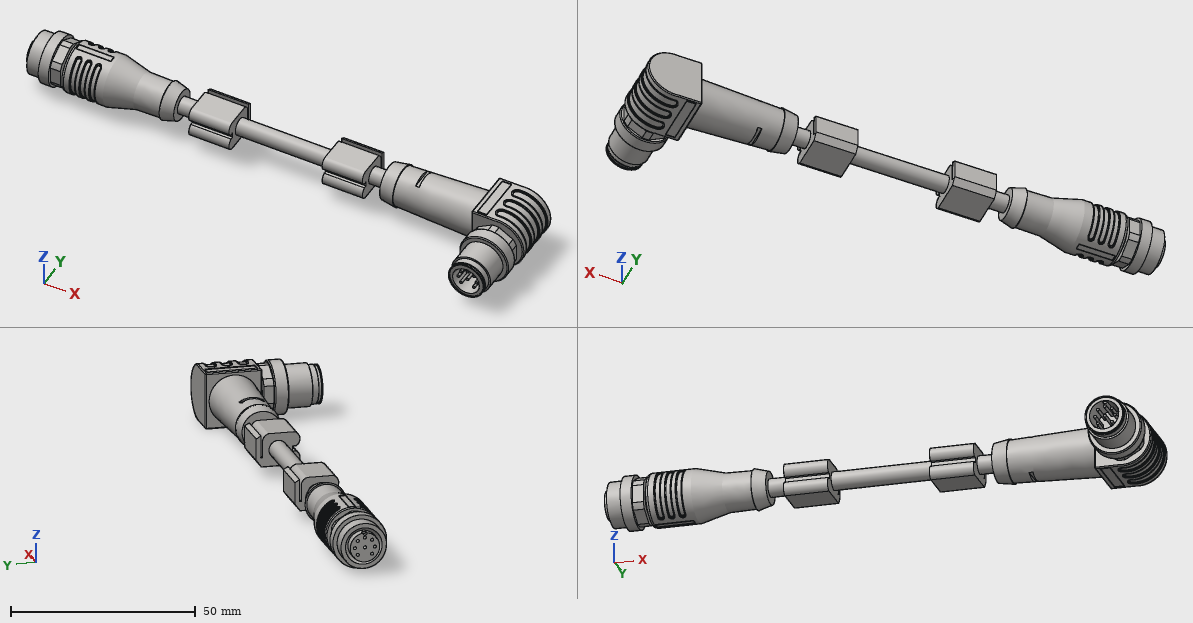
import cadquery as cq
import math

TOTAL_LENGTH = 155.4
CABLE_DIAMETER = 5.1

CONTACT_DIAMETER = 0.8
CONTACT_CIRCLE_RADIUS = 2.8
OUTER_CONTACTS = 7
FIRST_CONTACT_ANGLE = -45
CONTACT_SWEEP = 270
INSERT_DIAMETER = 8.2
KEY_DIAMETER = 1.2

GROOVE_DEPTHS = (0.23, 0.5)

RING_DIAMETER = 15.0
NECK_DIAMETER = 9.3
NUT_ACROSS_FLATS = 12.7
NUT_CORNER_DIAMETER = 13.7

SLEEVE_START = 1.2
SLEEVE_DIAMETER = 12.7
SLEEVE_MOUTH_DIAMETER = 10.3
SLEEVE_MOUTH_DEPTH = 1.2
SOCKET_RING_START = 5.5
SOCKET_NUT_START = 8.5
SOCKET_NECK_START = 11.7
BODY_START = 12.6
BODY_EDGE_DIAMETER = 14.6
BODY_DIAMETER = 15.0
BODY_CHAMFER_END = 13.2
BODY_END = 25.5
TAIL_START = 33.7
TAIL_DIAMETER = 10.9
TAIL_NARROW_DIAMETER = 10.5
COLLAR_START = 41.8
COLLAR_DIAMETER = 11.5
SOCKET_END = 45.7
SOCKET_END_DIAMETER = 9.3
SOCKET_HOLE_DEPTH = 4.7

MARK_START = 13.5
MARK_LENGTH = 10.7
MARK_WIDTH = 1.9
MARK_DEPTH = 0.23
BODY_GROOVE_CENTER = MARK_START + MARK_LENGTH / 2
BODY_GROOVE_SPAN = 6.0
BODY_GROOVE_PITCH = BODY_GROOVE_SPAN / 2
BODY_GROOVE_WIDTHS = (1.9, 1.2)
BODY_GROOVE_TIP = 2.8

CLIP_STARTS = (51.1, 92.3)
CLIP_LENGTH = 12.5
CLIP_HALF_HEIGHT = 4.7
CLIP_WIDTH = 12.3
CLIP_HALF_WIDTH = CLIP_WIDTH / 2
CLIP_TOP_FRONT = -4.5
CLIP_TOP_BACK = 2.6
CLIP_BULGE_HEIGHT = 2.6
CLIP_BOTTOM_HALF_WIDTH = 4.7
CLIP_SLOT_TOP = 0.6
CLIP_SLOT_BOTTOM = -0.8
CLIP_SLOT_EDGE = 5.0
CLIP_SLOT_FLOOR = 4.0
CLIP_GAP_START = 4.4
CLIP_GAP_END = 4.8
CLIP_GAP_FLOOR = -2.0
CLIP_SHOULDER = (3.7, 4.0)
CLIP_SHOULDER_END = 2.8
CLIP_LIP_TOP = 4.2
CLIP_LIP_OUTER_TOP = 3.4

BOOT_START = 109.7
BOOT_START_DIAMETER = 11.0
BOOT_COLLAR = 114.0
BOOT_COLLAR_DIAMETER = 12.5
BOOT_NARROW_DIAMETER = 11.8
BOOT_END_DIAMETER = 13.8
BOOT_NOTCH_START = 119.6
BOOT_NOTCH_LENGTH = 1.1
BOOT_NOTCH_HEIGHT = 5.1
ELBOW_DIAMETER = 16.0
ELBOW_RADIUS = ELBOW_DIAMETER / 2
ELBOW_X = TOTAL_LENGTH - ELBOW_RADIUS
BLOCK_START = 139.4
BLOCK_HALF_HEIGHT = 8.0
BLOCK_HALF_WIDTH = 8.0
BLOCK_CHAMFER = 0.3

BLOCK_GROOVE_START = 145.1
BLOCK_GROOVE_PITCH = 4.5
BLOCK_GROOVE_WIDTHS = (3.0, 2.2)
LABEL_START = 140.8
LABEL_LENGTH = 2.8
LABEL_WIDTH = 14.0
LABEL_DEPTH = 0.23

PLUG_NUT_START = 8.9
PLUG_RING_START = 11.7
PLUG_RING_END = 15.7
PLUG_RING_CHAMFER = 0.3
PLUG_SHELL_DIAMETER = 12.0
PLUG_SHELL_END = 22.7
PLUG_TIP_DIAMETER = 10.9
PLUG_GROOVE_START = 24.5
PLUG_GROOVE_END = 25.3
PLUG_GROOVE_DIAMETER = 10.3
PLUG_END = 25.6
PLUG_BORE_DEPTH = 7.8
PIN_LENGTH = 7.0


def turned(stations):
    """Solid of revolution about X through (x, diameter) stations."""
    outline = [(stations[0][0], 0)]
    outline += [(x, diameter / 2) for x, diameter in stations]
    outline += [(stations[-1][0], 0)]
    return cq.Workplane("XY").polyline(outline).close().revolve(360, (0, 0), (1, 0))


def rod(start, length, diameter):
    """Cylinder on the X axis."""
    return cq.Workplane("YZ", origin=(start, 0, 0)).circle(diameter / 2).extrude(length)


def block(x_start, x_length, y_width, z_start, z_height):
    """Box centred on Y."""
    center = (x_start + x_length / 2, 0, z_start + z_height / 2)
    return cq.Workplane("XY").box(x_length, y_width, z_height).translate(center)


def coupling_nut(start, end):
    """Hexagon with flats facing +Y and -Y, its corners turned to a cylinder."""
    corner_to_corner = NUT_ACROSS_FLATS / math.cos(math.radians(30))
    hexagon = cq.Workplane("YZ", origin=(start, 0, 0)).transformed(rotate=(0, 0, 30))
    hexagon = hexagon.polygon(6, corner_to_corner).extrude(end - start)
    return hexagon.intersect(rod(start, end - start, NUT_CORNER_DIAMETER))


def contacts(start, length):
    """Contact rods: one in the centre and seven around it."""
    plane = cq.Workplane("YZ", origin=(start, 0, 0))
    ring = plane.polarArray(CONTACT_CIRCLE_RADIUS, FIRST_CONTACT_ANGLE, CONTACT_SWEEP, OUTER_CONTACTS)
    ring = ring.circle(CONTACT_DIAMETER / 2).extrude(length)
    return ring.union(rod(start, length, CONTACT_DIAMETER))


def socket_connector():
    body = turned([
        (0, INSERT_DIAMETER),
        (SLEEVE_START + SLEEVE_MOUTH_DEPTH, INSERT_DIAMETER),
        (SLEEVE_START, SLEEVE_MOUTH_DIAMETER),
        (SLEEVE_START, SLEEVE_DIAMETER),
        (SOCKET_NUT_START, SLEEVE_DIAMETER),
        (SOCKET_NUT_START, NECK_DIAMETER),
        (BODY_START, NECK_DIAMETER),
        (BODY_START, BODY_EDGE_DIAMETER),
        (BODY_CHAMFER_END, BODY_DIAMETER),
        (BODY_END, BODY_DIAMETER),
        (TAIL_START, TAIL_DIAMETER),
        (COLLAR_START, TAIL_NARROW_DIAMETER),
        (COLLAR_START, COLLAR_DIAMETER),
        (SOCKET_END, SOCKET_END_DIAMETER),
    ])
    body = body.union(rod(SOCKET_RING_START, SOCKET_NUT_START - SOCKET_RING_START, RING_DIAMETER))
    body = body.union(coupling_nut(SOCKET_NUT_START, SOCKET_NECK_START))
    body = body.cut(contacts(0, SOCKET_HOLE_DEPTH))
    key_slot = rod(0, SLEEVE_START, KEY_DIAMETER).translate((0, 0, INSERT_DIAMETER / 2))
    for width, depth in zip(BODY_GROOVE_WIDTHS, GROOVE_DEPTHS):
        body = body.cut(body_grooves(width, depth))
    return body.cut(key_slot).cut(body_marks())


def body_grooves(width, depth):
    """Three round-ended grooves wrapped around each side of the socket body."""
    reach = BODY_DIAMETER
    tip = BODY_GROOVE_TIP + (BODY_GROOVE_WIDTHS[0] - width) / 2
    plan = cq.Workplane("XY")
    for side in (-1, 1):
        centers = [
            (BODY_GROOVE_CENTER + i * BODY_GROOVE_PITCH, side * (tip + reach / 2))
            for i in (-1, 0, 1)
        ]
        plan = plan.pushPoints(centers).slot2D(reach, width, 90)
    cutter = plan.extrude(BODY_DIAMETER, both=True)
    core_diameter = BODY_DIAMETER - 2 * depth
    return cutter.cut(rod(BODY_START, BODY_END - BODY_START, core_diameter))


def body_marks():
    """Flat-bottomed recesses along the top and bottom of the socket body."""
    floor = BODY_DIAMETER / 2 - MARK_DEPTH
    top = block(MARK_START, MARK_LENGTH, MARK_WIDTH, floor, MARK_DEPTH)
    return top.union(top.mirror("XY"))


def clip(start):
    """Clip with a slot along its -Y side and a lip behind a narrow gap on its +Y side."""
    bulge_front = (-CLIP_HALF_WIDTH, CLIP_BULGE_HEIGHT)
    bulge_front_low = (-CLIP_HALF_WIDTH, -CLIP_BULGE_HEIGHT)
    section = (
        cq.Workplane("YZ", origin=(start, 0, 0))
        .moveTo(CLIP_TOP_BACK, CLIP_HALF_HEIGHT)
        .lineTo(CLIP_TOP_FRONT, CLIP_HALF_HEIGHT)
        .threePointArc(bulge_front, (-CLIP_SLOT_EDGE, CLIP_SLOT_TOP))
        .lineTo(-CLIP_SLOT_FLOOR, CLIP_SLOT_TOP)
        .lineTo(-CLIP_SLOT_FLOOR, CLIP_SLOT_BOTTOM)
        .lineTo(-CLIP_SLOT_EDGE, CLIP_SLOT_BOTTOM)
        .threePointArc(bulge_front_low, (-CLIP_BOTTOM_HALF_WIDTH, -CLIP_HALF_HEIGHT))
        .lineTo(CLIP_BOTTOM_HALF_WIDTH, -CLIP_HALF_HEIGHT)
        .lineTo(CLIP_HALF_WIDTH, -CLIP_BULGE_HEIGHT)
        .lineTo(CLIP_HALF_WIDTH, CLIP_LIP_OUTER_TOP)
        .lineTo(CLIP_GAP_END, CLIP_LIP_TOP)
        .lineTo(CLIP_GAP_END, CLIP_GAP_FLOOR)
        .lineTo(CLIP_GAP_START, CLIP_GAP_FLOOR)
        .lineTo(CLIP_GAP_START, CLIP_SHOULDER_END)
        .threePointArc(CLIP_SHOULDER, (CLIP_TOP_BACK, CLIP_HALF_HEIGHT))
        .close()
    )
    return section.extrude(CLIP_LENGTH)


def boot():
    """Tapered strain relief with a flat notch on top and bottom."""
    body = turned([
        (BOOT_START, BOOT_START_DIAMETER),
        (BOOT_COLLAR, BOOT_COLLAR_DIAMETER),
        (BOOT_COLLAR, BOOT_NARROW_DIAMETER),
        (BLOCK_START, BOOT_END_DIAMETER),
    ])
    clearance = BOOT_END_DIAMETER
    notch = block(BOOT_NOTCH_START, BOOT_NOTCH_LENGTH, clearance, BOOT_NOTCH_HEIGHT, clearance)
    return body.cut(notch).cut(notch.mirror("XY"))


def elbow_shape(inset):
    """Block with a round end about a Y-parallel axis, shrunk by inset in height and radius."""
    half_height = BLOCK_HALF_HEIGHT - inset
    body = block(BLOCK_START, ELBOW_X - BLOCK_START, 2 * BLOCK_HALF_WIDTH, -half_height, 2 * half_height)
    round_end = cq.Workplane("XZ", origin=(ELBOW_X, 0, 0)).circle(ELBOW_RADIUS - inset)
    return body.union(round_end.extrude(BLOCK_HALF_WIDTH, both=True))


def elbow_grooves(width, depth):
    """Three round-nosed grooves that run around the round end."""
    length = 2 * ELBOW_RADIUS
    nose = BLOCK_GROOVE_START + (BLOCK_GROOVE_WIDTHS[0] - width) / 2
    centers = [(nose + length / 2, i * BLOCK_GROOVE_PITCH) for i in (-1, 0, 1)]
    plan = cq.Workplane("XY").pushPoints(centers).slot2D(length, width)
    return plan.extrude(2 * ELBOW_RADIUS, both=True).cut(elbow_shape(depth))


def elbow():
    body = elbow_shape(0)
    body = body.faces("<X or <Y or >Y").edges().chamfer(BLOCK_CHAMFER)
    label = block(LABEL_START, LABEL_LENGTH, LABEL_WIDTH, BLOCK_HALF_HEIGHT - LABEL_DEPTH, LABEL_DEPTH)
    body = body.cut(label).cut(label.mirror("XY"))
    for width, depth in zip(BLOCK_GROOVE_WIDTHS, GROOVE_DEPTHS):
        body = body.cut(elbow_grooves(width, depth))
    return body


def plug_connector():
    """Plug built along +X from the elbow centre, then turned to point along -Y."""
    body = turned([
        (0, NECK_DIAMETER),
        (PLUG_RING_START, NECK_DIAMETER),
        (PLUG_RING_START, PLUG_SHELL_DIAMETER),
        (PLUG_SHELL_END, PLUG_SHELL_DIAMETER),
        (PLUG_SHELL_END, PLUG_TIP_DIAMETER),
        (PLUG_GROOVE_START, PLUG_TIP_DIAMETER),
        (PLUG_GROOVE_START, PLUG_GROOVE_DIAMETER),
        (PLUG_GROOVE_END, PLUG_GROOVE_DIAMETER),
        (PLUG_GROOVE_END, PLUG_TIP_DIAMETER),
        (PLUG_END, PLUG_TIP_DIAMETER),
    ])
    body = body.union(coupling_nut(PLUG_NUT_START, PLUG_RING_START))
    ring = rod(PLUG_RING_START, PLUG_RING_END - PLUG_RING_START, RING_DIAMETER)
    body = body.union(ring.edges().chamfer(PLUG_RING_CHAMFER))
    bore_floor = PLUG_END - PLUG_BORE_DEPTH
    body = body.cut(rod(bore_floor, PLUG_BORE_DEPTH, INSERT_DIAMETER))
    key = rod(bore_floor, PIN_LENGTH, KEY_DIAMETER).translate((0, 0, INSERT_DIAMETER / 2))
    body = body.union(key).union(contacts(bore_floor, PIN_LENGTH))
    return body.rotate((0, 0, 0), (0, 0, 1), -90).translate((ELBOW_X, 0, 0))


result = socket_connector()
result = result.union(rod(SOCKET_END, BOOT_START - SOCKET_END, CABLE_DIAMETER))
for clip_start in CLIP_STARTS:
    result = result.union(clip(clip_start))
result = result.union(boot())
result = result.union(elbow())
result = result.union(plug_connector())